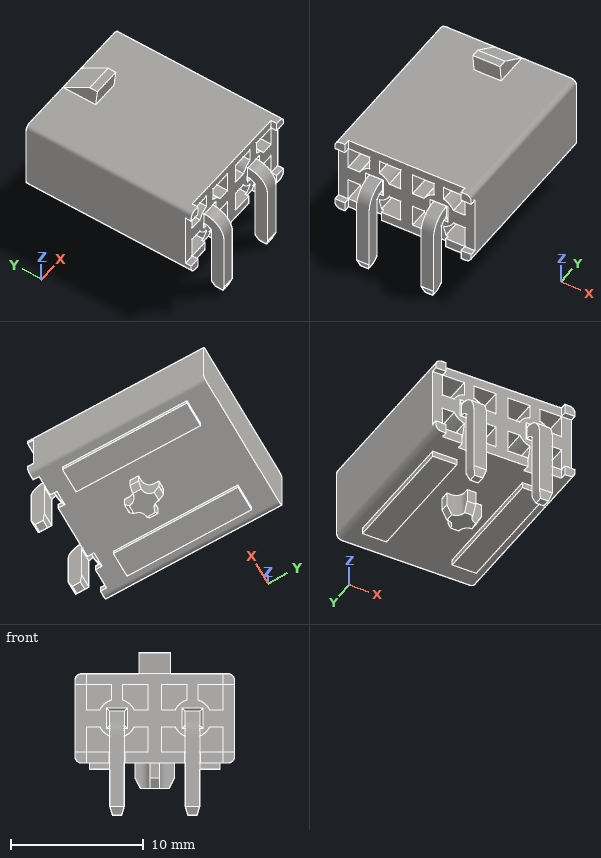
import cadquery as cq
import math


overall_depth = 16.44

body_width = 12.05
body_height = 6.75
body_depth = 14.75
corner_radius = 0.51
mid_height = body_height / 2

ear_width = 0.89
ear_height = 0.82
ear_length = 0.53

latch_width = 2.4
latch_height = 1.58
latch_base_length = 3.02
latch_tip_length = 3.19
latch_ramp_length = 2.48

pin_spacing = 5.69
pin_positions = (-pin_spacing / 2, pin_spacing / 2)
pin_width = 1.12
pin_thickness = 1.09
leg_front = overall_depth - body_depth
leg_thickness = leg_front - ear_length
leg_bottom = -3.95
bend_outer_radius = 1.8
bend_inner_radius = bend_outer_radius - pin_thickness
tip_length = 0.69
tip_width = 0.69

pocket_half_width = 2.32
pocket_half_height = 2.55
pocket_depth = 4.11
web_thickness = 0.85
bridge_thickness = 1.28
boss_radius = 1.45
funnel_width = 1.58
funnel_height = 1.55
funnel_depth = 0.23
relief_width = 1.22
relief_depth = 0.58

rail_inner_x = pin_spacing / 2
rail_outer_x = 4.93
rail_height = 0.48
rail_start = 1.9
rail_length = 10.8

peg_y = 6.18
peg_height = 1.92
peg_half_span = 1.5
peg_tip_half_span = 1.09
peg_straight_height = 1.12
rib_thickness = 0.74


def block(x_range, y_range, z_range):
    """Box filling the given X, Y and Z ranges."""
    lows, highs = zip(x_range, y_range, z_range)
    size = [high - low for low, high in zip(lows, highs)]
    return cq.Workplane("XY").box(*size, centered=False).translate(lows)


def side_profile_plane(x_start):
    """Sketch plane with local axes Y and Z that extrudes toward +X."""
    return cq.Workplane("YZ", origin=(x_start, 0, 0))


def make_housing():
    """Rounded housing, with its front cut back to leave the four ears."""
    half_width = body_width / 2
    housing = block(
        (-half_width, half_width), (-ear_length, body_depth), (0, body_height)
    )
    housing = housing.edges("|Y").fillet(corner_radius)
    ear_gap_x = half_width - ear_width
    across = block(
        (-half_width, half_width), (-ear_length, 0), (ear_height, body_height - ear_height)
    )
    upright = block((-ear_gap_x, ear_gap_x), (-ear_length, 0), (0, body_height))
    return housing.cut(across).cut(upright)


def make_latch():
    """Ramp rising from the rear edge to an overhanging front face."""
    top = body_height + latch_height
    return (
        side_profile_plane(-latch_width / 2)
        .moveTo(body_depth, body_height)
        .lineTo(body_depth - latch_ramp_length, top)
        .lineTo(body_depth - latch_tip_length, top)
        .lineTo(body_depth - latch_base_length, body_height)
        .close()
        .extrude(latch_width)
    )


def make_pockets(x):
    """Four pockets separated by a cross and a round boss centred on the pin."""
    near_x, far_x = web_thickness / 2, pocket_half_width
    near_z, far_z = bridge_thickness / 2, pocket_half_height
    pockets = cq.Workplane("XY")
    for x_low, x_high in ((-far_x, -near_x), (near_x, far_x)):
        for z_low, z_high in ((-far_z, -near_z), (near_z, far_z)):
            pockets = pockets.add(
                block(
                    (x + x_low, x + x_high),
                    (0, pocket_depth),
                    (mid_height + z_low, mid_height + z_high),
                )
            )
    boss = cq.Workplane("XZ", origin=(x, 0, mid_height)).circle(boss_radius).extrude(-pocket_depth)
    return pockets.combine().cut(boss)


def make_funnel(x):
    """Tapered mouth that narrows to the size of the pin."""
    return (
        cq.Workplane("XZ", origin=(x, 0, mid_height))
        .rect(funnel_width, funnel_height)
        .workplane(offset=-funnel_depth)
        .rect(pin_width, pin_thickness)
        .loft(ruled=True)
    )


def make_relief(x):
    """Wedge behind the pin leg that deepens from the boss to the underside."""
    return (
        side_profile_plane(x - relief_width / 2)
        .moveTo(0, mid_height - boss_radius)
        .lineTo(relief_depth, 0)
        .lineTo(0, 0)
        .close()
        .extrude(relief_width)
    )


def make_pin(x):
    """Square pin bent downward, ending in a tapered tip."""
    leg_back_y = leg_thickness - leg_front
    pin_top = mid_height + pin_thickness / 2
    bend_y = bend_outer_radius - leg_front
    bend_z = pin_top - bend_outer_radius
    tip_z = leg_bottom + tip_length

    def bend_point(radius, angle):
        """Point on the bend, with the angle measured from straight up toward -Y."""
        return bend_y - radius * math.sin(angle), bend_z + radius * math.cos(angle)

    inner_end_angle = math.asin((bend_y - leg_back_y) / bend_inner_radius)
    root_y = funnel_depth + pin_thickness
    shaft = (
        side_profile_plane(x - pin_width / 2)
        .moveTo(root_y, pin_top)
        .lineTo(bend_y, pin_top)
        .threePointArc(bend_point(bend_outer_radius, math.pi / 4), (-leg_front, bend_z))
        .lineTo(-leg_front, tip_z)
        .lineTo(leg_back_y, tip_z)
        .lineTo(*bend_point(bend_inner_radius, inner_end_angle))
        .threePointArc(
            bend_point(bend_inner_radius, inner_end_angle / 2),
            bend_point(bend_inner_radius, 0),
        )
        .lineTo(root_y, pin_top - pin_thickness)
        .close()
        .extrude(pin_width)
    )
    tip = (
        cq.Workplane("XY", origin=(x, leg_back_y - leg_thickness / 2, tip_z))
        .rect(pin_width, leg_thickness)
        .workplane(offset=-tip_length)
        .rect(tip_width, tip_width)
        .loft(ruled=True)
    )
    return shaft.union(tip)


def make_rails():
    """Two flat rails that hold the housing off the board."""
    rail = block(
        (rail_inner_x, rail_outer_x), (rail_start, rail_start + rail_length), (-rail_height, 0)
    )
    return rail.union(rail.mirror("YZ"))


def make_peg():
    """Cross of two ribs with hollow rounded corners and tapered rib ends."""
    rib_profile = (
        cq.Workplane("XZ")
        .moveTo(-peg_half_span, 0)
        .lineTo(-peg_half_span, -peg_straight_height)
        .lineTo(-peg_tip_half_span, -peg_height)
        .lineTo(peg_tip_half_span, -peg_height)
        .lineTo(peg_half_span, -peg_straight_height)
        .lineTo(peg_half_span, 0)
        .close()
    )
    rib = rib_profile.extrude(rib_thickness / 2, both=True)
    peg = rib.union(rib.rotate((0, 0, 0), (0, 0, 1), 90))
    core = cq.Workplane("XY").rect(2 * peg_tip_half_span, 2 * peg_tip_half_span).extrude(-peg_height)
    corner_cuts = (
        cq.Workplane("XY")
        .rect(2 * peg_tip_half_span, 2 * peg_tip_half_span, forConstruction=True)
        .vertices()
        .circle(peg_tip_half_span - rib_thickness / 2)
        .extrude(-peg_height)
    )
    return peg.union(core.cut(corner_cuts)).translate((0, peg_y, 0))


result = make_housing().union(make_latch()).union(make_rails()).union(make_peg())
for pin_x in pin_positions:
    result = result.cut(make_pockets(pin_x)).cut(make_funnel(pin_x)).cut(make_relief(pin_x))
    result = result.union(make_pin(pin_x))